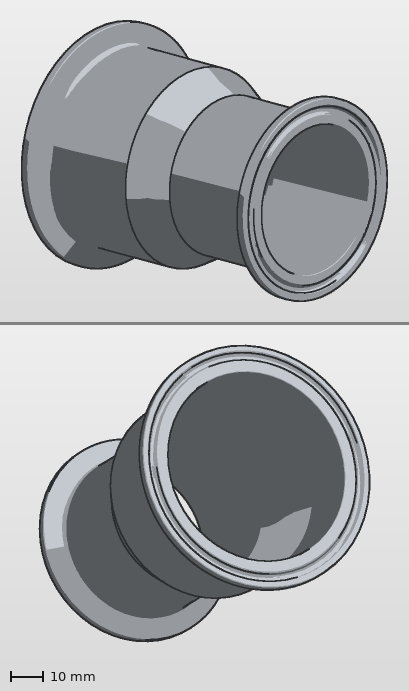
import cadquery as cq
import math

total_length = 88.9
ferrule_length = total_length / 7
tube_length = 2 * ferrule_length
outer_cone_start = ferrule_length + tube_length
outer_cone_end = total_length - outer_cone_start

large_flange_dia = 77.4
large_tube_dia = 63.5
large_bore_dia = 60.2
large_groove_dia = 70.6

small_flange_dia = 63.9
small_tube_dia = 50.8
small_bore_dia = 47.5
small_groove_dia = 56.4

bore_cone_start = 22.3
bore_cone_length = tube_length
bore_cone_end = bore_cone_start + bore_cone_length
bore_blend_radius = 7.1

rim_thickness = 2.85
flange_back_angle = 20.0
neck_fillet = 1.6
rim_fillet = 0.45
mouth_fillet = 0.4
groove_radius = 1.25
groove_edge_fillet = 0.6

position_tolerance = 0.0001


def revolve_about_x(points):
    """Solid of revolution about X from the (x, radius) corners of its profile."""
    return cq.Workplane("XY").polyline(points).close().revolve(360, (0, 0, 0), (1, 0, 0))


def fillet_ring(body, x, diameter, fillet_radius):
    """Fillet the circular edge of the given diameter that lies at the given x."""
    ring = body.edges("%CIRCLE").filter(
        lambda edge: math.isclose(edge.Center().x, x, abs_tol=position_tolerance)
        and math.isclose(edge.radius(), diameter / 2, abs_tol=position_tolerance)
    )
    return ring.fillet(fillet_radius)


def ferrule(flange_dia, tube_dia, groove_dia):
    """Solid clamp ferrule with its sealing face at X = 0 and its tube running to +X."""
    flange_height = (flange_dia - tube_dia) / 2
    neck_x = rim_thickness + flange_height * math.tan(math.radians(flange_back_angle))
    body = revolve_about_x([
        (0, 0),
        (0, flange_dia / 2),
        (rim_thickness, flange_dia / 2),
        (neck_x, tube_dia / 2),
        (ferrule_length, tube_dia / 2),
        (ferrule_length, 0),
    ])
    body = fillet_ring(body, neck_x, tube_dia, neck_fillet)
    body = fillet_ring(body, 0, flange_dia, rim_fillet)
    body = fillet_ring(body, rim_thickness, flange_dia, rim_fillet)

    groove_inner = groove_dia / 2 - groove_radius
    groove_outer = groove_dia / 2 + groove_radius
    gasket_ring = (
        cq.Workplane("XY")
        .moveTo(0, groove_inner)
        .threePointArc((groove_radius, groove_dia / 2), (0, groove_outer))
        .close()
        .revolve(360, (0, 0, 0), (1, 0, 0))
    )
    body = body.cut(gasket_ring)
    body = fillet_ring(body, 0, 2 * groove_inner, groove_edge_fillet)
    body = fillet_ring(body, 0, 2 * groove_outer, groove_edge_fillet)
    return body


def reducer_body():
    """Solid outer shape between the two ferrules."""
    small_ferrule_x = total_length - ferrule_length
    return revolve_about_x([
        (ferrule_length, 0),
        (ferrule_length, large_tube_dia / 2),
        (outer_cone_start, large_tube_dia / 2),
        (outer_cone_end, small_tube_dia / 2),
        (small_ferrule_x, small_tube_dia / 2),
        (small_ferrule_x, 0),
    ])


def bore():
    """Flow passage: large bore, blended cone, small bore."""
    passage = revolve_about_x([
        (0, 0),
        (0, large_bore_dia / 2),
        (bore_cone_start, large_bore_dia / 2),
        (bore_cone_end, small_bore_dia / 2),
        (total_length, small_bore_dia / 2),
        (total_length, 0),
    ])
    passage = fillet_ring(passage, bore_cone_start, large_bore_dia, bore_blend_radius)
    return fillet_ring(passage, bore_cone_end, small_bore_dia, bore_blend_radius)


large_ferrule = ferrule(large_flange_dia, large_tube_dia, large_groove_dia)
small_ferrule = (
    ferrule(small_flange_dia, small_tube_dia, small_groove_dia)
    .mirror("YZ")
    .translate((total_length, 0, 0))
)
fitting = reducer_body().union(large_ferrule).union(small_ferrule).clean().cut(bore())

fitting = fillet_ring(fitting, 0, large_bore_dia, mouth_fillet)
result = fillet_ring(fitting, total_length, small_bore_dia, mouth_fillet)